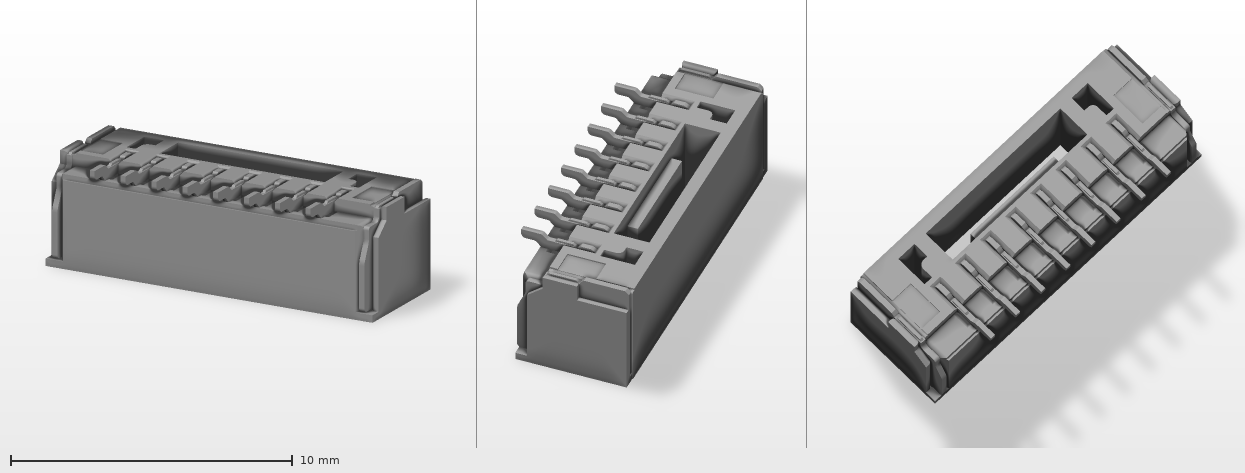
import cadquery as cq

edge_margin = 0.01

length = 13.25
housing_depth = 4.30
housing_top = 4.03
overall_depth = 4.95
overall_top = 4.12
contact_count = 8
pitch = 1.25

core_half = 6.11
top_half = 5.96
strip_outer = 6.33
half_length = length / 2

ledge_y = -3.25
ledge_z = 3.53
lip_y = -4.22
lip_z = 3.32
corner_start_y = -4.03
corner_width = 0.19
shoulder_step = 0.07
shoulder_radius = 0.08
ledge_edge_radius = 0.18

flange_z = 0.28
wall_back_y = -0.025
wall_front_y = -3.85
wall_slope_low_z = 3.05
wall_edge_radius = 0.165

tab_back_y = -0.06
tab_front_y = -1.93
tab_low_z = 3.40
tab_corner = 0.14
strip_arm_z = 3.92
strip_ridge_back_y = -2.02
strip_ridge_front_y = -3.25
strip_arm_front_y = -3.29
strip_ledge_z = 3.44
strip_bend_radius = 0.12
strip_crease_radius = 0.18
strip_slope_radius = 0.45
strip_upper_y = -4.03
strip_lower_y = -4.35
strip_slope_top_z = 2.88
strip_slope_low_z = 2.20
strip_bottom_z = 0.34
strip_toe_radius = 0.15

window_back_y = -0.49
window_front_y = -1.86
window_half = 3.35
rail_half = 2.07
rail_back_y = -1.455
rail_top_z = 3.40
side_window_inner = 3.91
side_window_outer = 4.71
side_window_front_y = -1.82
notch_x = 4.34
notch_y = -1.14
notch_radius = 0.24
recess_inner = 5.04
recess_back_y = -1.46
recess_front_y = -2.94
recess_depth = 0.05

contact_width = 0.20
contact_root_y = -2.10
contact_root_z = 3.30
contact_mid_z = 3.92
contact_valley_z = 3.84
hump_top_z = 4.02
hump_start_z = 3.92
foot_low_z = 3.76
foot_corner = 0.17
foot_bend_radius = 0.12
hump_back_y = -2.28
hump_front_y = -2.67
hump_end_y = -2.85
foot_rise_y = -3.95
foot_flat_y = -4.17
foot_heel_y = -4.40
ridge_back_y = -2.90
ridge_front_y = -3.68
ridge_slope = 0.08
ridge_top_z = 4.00
ridge_width = 0.12

slot_width = 0.54
slot_bevel = 0.14
slot_back_y = -2.01
slot_front_y = -3.94
slot_floor_z = 3.53


def box(x0, x1, y0, y1, z0, z1):
    """Box between two opposite corners."""
    return cq.Workplane("XY").box(x1 - x0, y1 - y0, z1 - z0, centered=False).translate((x0, y0, z0))


def prism_along_x(points, x0, x1):
    """Closed (y, z) outline extruded between two X positions."""
    return cq.Workplane("YZ").polyline(points).close().extrude(x1 - x0).translate((x0, 0, 0))


def on_both_ends(shape):
    """A shape together with its mirror image across the middle plane."""
    return shape.union(shape.mirror("YZ"))


def round_bends(shape, bends):
    """Round the edges along X that pass nearest to each (y, z) bend."""
    for y, z, radius in bends:
        middle_x = shape.val().Center().x
        shape = shape.edges("|X").edges(cq.selectors.NearestToPointSelector((middle_x, y, z))).fillet(radius)
    return shape


def make_ridge(back_y, front_y, base_z):
    """Narrow raised rib with sloped ends, centered on X = 0."""
    profile = [
        (back_y, base_z),
        (back_y - ridge_slope, ridge_top_z),
        (front_y + ridge_slope, ridge_top_z),
        (front_y, base_z),
    ]
    return prism_along_x(profile, -ridge_width / 2, ridge_width / 2)


def make_core():
    """Stepped central block with beveled front corners and a lowered top edge at each end."""
    profile = [
        (0, 0),
        (-housing_depth, 0),
        (-housing_depth, lip_z),
        (lip_y, lip_z),
        (lip_y, ledge_z),
        (ledge_y, ledge_z),
        (ledge_y, housing_top),
        (0, housing_top),
    ]
    core = prism_along_x(profile, -core_half, core_half)

    front_corner = (
        cq.Workplane("XY")
        .moveTo(-core_half, corner_start_y)
        .lineTo(-core_half, -housing_depth)
        .lineTo(-core_half + corner_width, -housing_depth)
        .close()
        .extrude(housing_top)
    )
    core = core.cut(on_both_ends(front_corner))

    shoulder_z = housing_top - shoulder_step
    shoulder = (
        cq.Workplane("XZ")
        .moveTo(-core_half, housing_top)
        .lineTo(-top_half, housing_top)
        .lineTo(-top_half, shoulder_z)
        .lineTo(-core_half + shoulder_radius, shoulder_z)
        .radiusArc((-core_half, shoulder_z - shoulder_radius), -shoulder_radius)
        .close()
        .extrude(-ledge_y)
    )
    core = core.cut(on_both_ends(shoulder))

    ledge_edge = (
        cq.Workplane("XZ", origin=(0, ledge_y, 0))
        .moveTo(-core_half, ledge_z - ledge_edge_radius)
        .radiusArc((-core_half + ledge_edge_radius, ledge_z), ledge_edge_radius)
        .lineTo(-core_half, ledge_z)
        .close()
        .extrude(housing_depth + ledge_y)
    )
    return core.cut(on_both_ends(ledge_edge))


def make_end_wall():
    """Outer wall with a sloped front shoulder and a cutout that bares the fitting tab."""
    profile = [
        (wall_back_y, 0),
        (wall_front_y, 0),
        (wall_front_y, wall_slope_low_z),
        (ledge_y, ledge_z),
        (ledge_y, housing_top),
        (tab_front_y, housing_top),
        (tab_front_y, tab_low_z),
        (wall_back_y, tab_low_z),
    ]
    wall = prism_along_x(profile, -half_length, -strip_outer)
    inner_front = cq.selectors.BoxSelector(
        (-strip_outer - edge_margin, -housing_depth, edge_margin),
        (-strip_outer + edge_margin, wall_back_y - edge_margin, overall_top),
    )
    wall = wall.edges(inner_front).fillet(wall_edge_radius)
    flange = box(-half_length, -core_half + corner_width, -housing_depth, wall_back_y, 0, flange_z)
    return wall.union(flange)


def make_fitting_strip():
    """Metal strip beside the core: raised tab, sunken arm and a leg bent down the front."""
    profile = [
        (tab_back_y, flange_z),
        (tab_back_y, overall_top - tab_corner),
        (tab_back_y - tab_corner, overall_top),
        (tab_front_y + tab_corner, overall_top),
        (tab_front_y, overall_top - tab_corner),
        (tab_front_y, strip_arm_z),
        (strip_arm_front_y, strip_arm_z),
        (strip_arm_front_y, strip_ledge_z),
        (strip_upper_y, strip_ledge_z),
        (strip_upper_y, strip_slope_top_z),
        (strip_lower_y, strip_slope_low_z),
        (strip_lower_y, strip_bottom_z),
        (wall_front_y, strip_bottom_z),
        (wall_front_y, flange_z),
    ]
    bends = [
        (strip_arm_front_y, strip_ledge_z, strip_crease_radius),
        (strip_upper_y, strip_ledge_z, strip_bend_radius),
        (strip_upper_y, strip_slope_top_z, strip_slope_radius),
        (strip_lower_y, strip_slope_low_z, strip_slope_radius),
        (strip_lower_y, strip_bottom_z, strip_toe_radius),
    ]
    strip = round_bends(prism_along_x(profile, -strip_outer, -core_half), bends)
    ridge = make_ridge(strip_ridge_back_y, strip_ridge_front_y, strip_arm_z)
    return strip.union(ridge.translate((-(strip_outer + core_half) / 2, 0, 0)))


def make_windows():
    """Through windows: a long one with a rail left on its front wall, and a notched one per end."""
    window = box(-window_half, window_half, window_front_y, window_back_y, 0, housing_top)
    rail = box(-rail_half, rail_half, window_front_y, rail_back_y, 0, rail_top_z)
    side_window = (
        cq.Workplane("XY")
        .moveTo(-side_window_outer, window_back_y)
        .lineTo(-side_window_inner, window_back_y)
        .lineTo(-side_window_inner, notch_y)
        .lineTo(-notch_x + notch_radius, notch_y)
        .radiusArc((-notch_x, notch_y - notch_radius), -notch_radius)
        .lineTo(-notch_x, side_window_front_y)
        .lineTo(-side_window_outer, side_window_front_y)
        .close()
        .extrude(housing_top)
    )
    return window.cut(rail).union(on_both_ends(side_window))


def make_recess():
    """Shallow rectangular recess in the top face."""
    floor_z = housing_top - recess_depth
    return box(-top_half, -recess_inner, recess_front_y, recess_back_y, floor_z, housing_top)


def make_slot():
    """Contact slot beveled at the top face and again where it crosses the ledge."""
    slot_length = slot_back_y - slot_front_y
    middle_y = (slot_back_y + slot_front_y) / 2

    def bevel(top_z):
        mouth = cq.Workplane("XY", origin=(0, middle_y, top_z)).rect(slot_width, slot_length)
        return mouth.extrude(-slot_bevel, taper=45)

    throat_half = slot_width / 2 - slot_bevel
    throat = box(-throat_half, throat_half, slot_front_y, slot_back_y - slot_bevel, slot_floor_z, housing_top)
    return bevel(housing_top).union(throat).union(bevel(ledge_z))


def make_contact():
    """Flat contact with a humped root, a beveled ridge and a raised solder foot."""
    tip_y = -overall_depth
    profile = (
        cq.Workplane("YZ")
        .moveTo(contact_root_y, contact_root_z)
        .lineTo(contact_root_y, hump_start_z)
        .lineTo(hump_back_y, hump_top_z)
        .lineTo(hump_front_y, hump_top_z)
        .lineTo(hump_end_y, contact_valley_z)
        .lineTo(ridge_back_y, contact_mid_z)
        .lineTo(foot_rise_y, contact_mid_z)
        .lineTo(foot_flat_y, overall_top)
        .lineTo(tip_y, overall_top)
        .lineTo(tip_y, foot_low_z + foot_corner)
        .radiusArc((tip_y + foot_corner, foot_low_z), -foot_corner)
        .lineTo(foot_heel_y, foot_low_z)
        .lineTo(foot_flat_y, ledge_z)
        .lineTo(ledge_y, ledge_z)
        .lineTo(ledge_y, contact_root_z)
        .close()
    )
    bends = [
        (foot_rise_y, contact_mid_z, foot_bend_radius),
        (foot_flat_y, overall_top, foot_bend_radius),
        (foot_heel_y, foot_low_z, foot_bend_radius),
    ]
    blade = round_bends(profile.extrude(contact_width / 2, both=True), bends)
    return blade.union(make_ridge(ridge_back_y, ridge_front_y, contact_mid_z))


result = make_core().cut(make_windows()).cut(on_both_ends(make_recess()))
result = result.union(on_both_ends(make_end_wall())).union(on_both_ends(make_fitting_strip()))

first_contact_x = -pitch * (contact_count - 1) / 2
slot = make_slot()
contact = make_contact()
for index in range(contact_count):
    place = (first_contact_x + index * pitch, 0, 0)
    result = result.cut(slot.translate(place)).union(contact.translate(place))